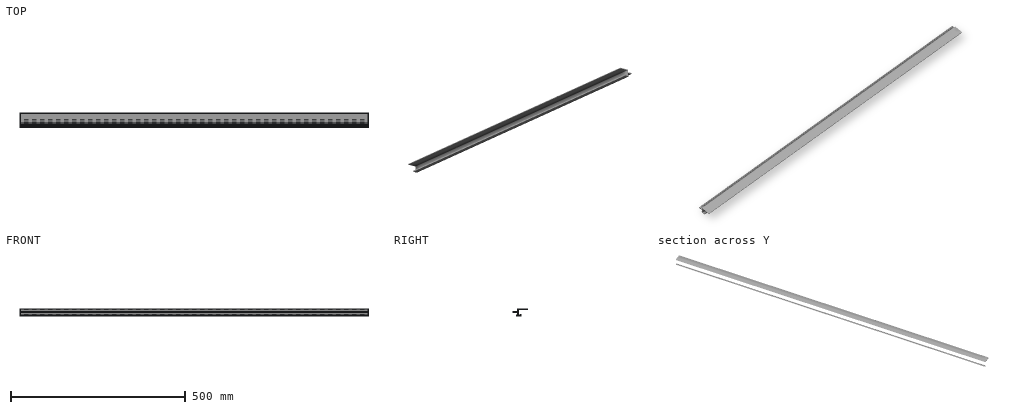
import cadquery as cq
import math

LENGTH = 1000.0
DEPTH = 41.98
HEIGHT = 19.7

TOP_FLANGE_THICKNESS = 2.0
FOOT_THICKNESS = 2.2
WEB_THICKNESS = 2.6
INNER_FILLET = 0.5

BACK_Y = DEPTH / 2
LIP_TIP_Y = -DEPTH / 2
TOP_Z = HEIGHT / 2
BOTTOM_Z = -HEIGHT / 2
FLANGE_UNDERSIDE_Z = TOP_Z - TOP_FLANGE_THICKNESS
FOOT_TOP_Z = BOTTOM_Z + FOOT_THICKNESS

WEB_FRONT_Y = -7.7
WEB_BACK_Y = WEB_FRONT_Y + WEB_THICKNESS

LIP_UNDERSIDE_Z = -0.1
NOSE_RADIUS = 1.2
BARB_COUNT = 3
BARB_PITCH = 2.9
FIRST_BARB_Y = -11.8
BARB_ANGLE = 15.3
LAST_BARB_ANGLE = 12.0

TOE_FRONT_Y = -10.5
HOOK_BACK_Y = 2.5
HOOK_THICKNESS = 1.6
HOOK_HEIGHT = 1.2
HOOK_TOP_Z = FOOT_TOP_Z + HOOK_HEIGHT


NOSE_CENTRE_Y = LIP_TIP_Y + NOSE_RADIUS
NOSE_CENTRE_Z = LIP_UNDERSIDE_Z + NOSE_RADIUS
NOSE_TOP_Y = NOSE_CENTRE_Y - NOSE_RADIUS * math.sin(math.radians(LAST_BARB_ANGLE))
NOSE_TOP_Z = NOSE_CENTRE_Z + NOSE_RADIUS * math.cos(math.radians(LAST_BARB_ANGLE))

LAST_BARB_Y = FIRST_BARB_Y - (BARB_COUNT - 1) * BARB_PITCH
BARB_PEAK_Z = NOSE_TOP_Z + (LAST_BARB_Y - NOSE_TOP_Y) * math.tan(math.radians(LAST_BARB_ANGLE))
LEDGE_Z = BARB_PEAK_Z - BARB_PITCH * math.tan(math.radians(BARB_ANGLE))


def draw_top_flange(section):
    """Top flange, from the web's back face round to the web's front face."""
    section = section.lineTo(BACK_Y, FLANGE_UNDERSIDE_Z)
    section = section.lineTo(BACK_Y, TOP_Z)
    return section.lineTo(WEB_FRONT_Y, TOP_Z)


def draw_lip(section):
    """Barbed lip, from the web's front face out round the nose and back to the web."""
    section = section.lineTo(WEB_FRONT_Y, LEDGE_Z)
    for index in range(BARB_COUNT):
        barb_y = FIRST_BARB_Y - index * BARB_PITCH
        section = section.lineTo(barb_y, LEDGE_Z)
        section = section.lineTo(barb_y, BARB_PEAK_Z)
    section = section.lineTo(NOSE_TOP_Y, NOSE_TOP_Z)
    nose_tip = (LIP_TIP_Y, NOSE_CENTRE_Z)
    section = section.threePointArc(nose_tip, (NOSE_CENTRE_Y, LIP_UNDERSIDE_Z))
    return section.lineTo(WEB_FRONT_Y, LIP_UNDERSIDE_Z)


def draw_foot(section):
    """Foot, from the web's front face round the toe and the hook to the web's back face."""
    hook_front_y = HOOK_BACK_Y - HOOK_THICKNESS
    section = section.lineTo(WEB_FRONT_Y, FOOT_TOP_Z)
    section = section.lineTo(TOE_FRONT_Y, FOOT_TOP_Z)
    section = section.lineTo(TOE_FRONT_Y, BOTTOM_Z)
    section = section.lineTo(HOOK_BACK_Y, BOTTOM_Z)
    section = section.lineTo(HOOK_BACK_Y, HOOK_TOP_Z)
    section = section.lineTo(hook_front_y, HOOK_TOP_Z)
    section = section.lineTo(hook_front_y, FOOT_TOP_Z)
    return section.lineTo(WEB_BACK_Y, FOOT_TOP_Z)


def fillet_web_corner(rail, corner_z):
    """Round the inner corner behind the web at the given height."""
    corner = cq.selectors.NearestToPointSelector((0, WEB_BACK_Y, corner_z))
    return rail.edges("|X").edges(corner).fillet(INNER_FILLET)


def make_rail():
    """Extrude the section along X, then round the two inner corners behind the web."""
    section = cq.Workplane("YZ").moveTo(WEB_BACK_Y, FLANGE_UNDERSIDE_Z)
    section = draw_top_flange(section)
    section = draw_lip(section)
    section = draw_foot(section)
    rail = section.close().extrude(LENGTH / 2, both=True)
    rail = fillet_web_corner(rail, FLANGE_UNDERSIDE_Z)
    return fillet_web_corner(rail, FOOT_TOP_Z)


result = make_rail()